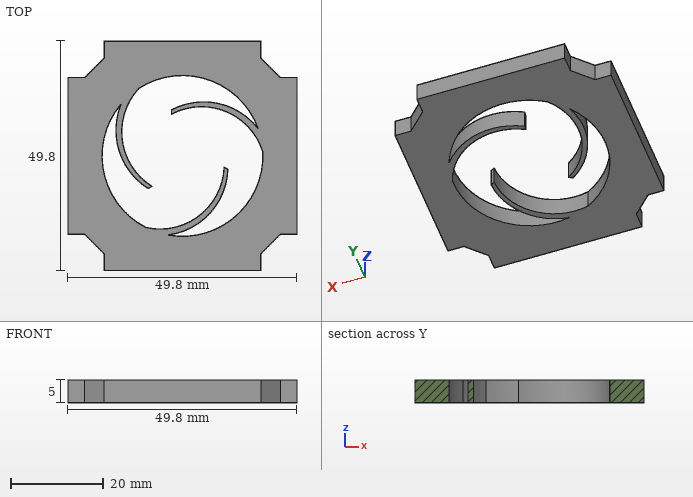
import cadquery as cq
import math

plate_side = 49.8
thickness = 5
notch_size = 7.85
notch_wall = 3.7

opening_radius = 17.45
blade_count = 3
outer_face_radius = 14.95
outer_face_center = (4.6, -3.2)
inner_face_radius = 13.9
inner_face_center = (4.15, -3.25)
blade_tip_angle = 118
blade_root_angle = 0


def corner_notch():
    """Cutter for the notch in the +X +Y corner."""
    outer = plate_side / 2
    inner = outer - notch_size
    wall_end = outer - notch_wall
    outline = [
        (outer, outer),
        (inner, outer),
        (inner, wall_end),
        (wall_end, inner),
        (outer, inner),
    ]
    return cq.Workplane("XY").polyline(outline).close().extrude(thickness)


def arc_point(center, radius, angle):
    """Point at the given angle on a circle."""
    return (
        center[0] + radius * math.cos(math.radians(angle)),
        center[1] + radius * math.sin(math.radians(angle)),
    )


def blade():
    """Curved strip between two arcs, slightly thicker toward its root in the rim."""
    middle_angle = (blade_tip_angle + blade_root_angle) / 2
    angles = (blade_tip_angle, middle_angle, blade_root_angle)
    outer_tip, outer_middle, outer_root = [
        arc_point(outer_face_center, outer_face_radius, angle) for angle in angles
    ]
    inner_tip, inner_middle, inner_root = [
        arc_point(inner_face_center, inner_face_radius, angle) for angle in angles
    ]
    return (
        cq.Workplane("XY")
        .moveTo(*outer_tip)
        .threePointArc(outer_middle, outer_root)
        .lineTo(*inner_root)
        .threePointArc(inner_middle, inner_tip)
        .close()
        .extrude(thickness)
    )


result = cq.Workplane("XY").rect(plate_side, plate_side).extrude(thickness)

for corner in range(4):
    result = result.cut(corner_notch().rotate((0, 0, 0), (0, 0, 1), corner * 90))

result = result.cut(cq.Workplane("XY").circle(opening_radius).extrude(thickness))

for index in range(blade_count):
    result = result.union(blade().rotate((0, 0, 0), (0, 0, 1), index * 360 / blade_count))